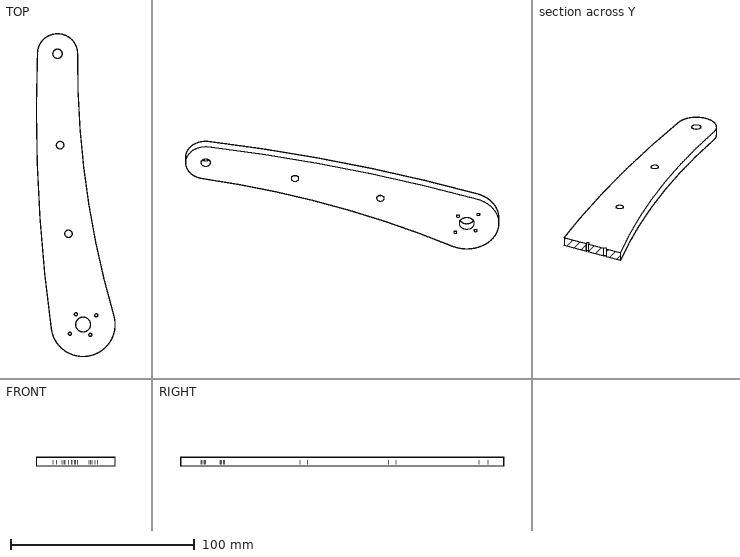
import cadquery as cq
import math

thickness = 5.0
big_lobe_radius = 17.5
small_lobe_radius = 11.0
overall_length = 175.82
lobe_offset_x = -13.9
lobe_offset_y = overall_length - big_lobe_radius - small_lobe_radius

outer_side_radius = 863.0
inner_side_radius = 490.0

hub_bore_diameter = 8.0
tip_hole_diameter = 5.0
arm_hole_diameter = 4.0
arm_hole_centers = [(-7.95, 49.4), (-12.5, 97.6)]

screw_hole_count = 4
screw_hole_diameter = 1.6
long_diagonal = 17.5
short_diagonal = 13.7
long_diagonal_angle = 35.0

big_center = (0.0, 0.0)
small_center = (lobe_offset_x, lobe_offset_y)


def side_arc_center(big_distance, small_distance):
    """Point to the right of the line from big to small lobe, at these distances from their centres."""
    span = math.hypot(lobe_offset_x, lobe_offset_y)
    along = (big_distance**2 - small_distance**2 + span**2) / (2 * span)
    across = math.sqrt(big_distance**2 - along**2)
    unit_x = lobe_offset_x / span
    unit_y = lobe_offset_y / span
    return (unit_x * along + unit_y * across, unit_y * along - unit_x * across)


def point_toward(start, target, distance):
    """Point at a signed distance from start, measured toward target."""
    dx = target[0] - start[0]
    dy = target[1] - start[1]
    length = math.hypot(dx, dy)
    return (start[0] + dx / length * distance, start[1] + dy / length * distance)


def midpoint(a, b):
    return ((a[0] + b[0]) / 2, (a[1] + b[1]) / 2)


def arm_plate():
    outer_center = side_arc_center(
        outer_side_radius - big_lobe_radius, outer_side_radius - small_lobe_radius
    )
    inner_center = side_arc_center(
        inner_side_radius + big_lobe_radius, inner_side_radius + small_lobe_radius
    )
    outer_big = point_toward(big_center, outer_center, -big_lobe_radius)
    outer_small = point_toward(small_center, outer_center, -small_lobe_radius)
    inner_big = point_toward(big_center, inner_center, big_lobe_radius)
    inner_small = point_toward(small_center, inner_center, small_lobe_radius)

    outer_mid = point_toward(outer_center, midpoint(outer_big, outer_small), outer_side_radius)
    inner_mid = point_toward(inner_center, midpoint(inner_big, inner_small), inner_side_radius)
    small_end = (small_center[0], small_center[1] + small_lobe_radius)
    big_end = (big_center[0], big_center[1] - big_lobe_radius)

    return (
        cq.Workplane("XY")
        .moveTo(*outer_big)
        .threePointArc(outer_mid, outer_small)
        .threePointArc(small_end, inner_small)
        .threePointArc(inner_mid, inner_big)
        .threePointArc(big_end, outer_big)
        .close()
        .extrude(thickness)
    )


def drill(plate, centers, diameter):
    return plate.faces(">Z").workplane(origin=(0, 0, 0)).pushPoints(centers).hole(diameter)


def screw_hole_centers():
    centers = []
    for index in range(screw_hole_count):
        diagonal = long_diagonal if index % 2 == 0 else short_diagonal
        angle = math.radians(long_diagonal_angle + 360 / screw_hole_count * index)
        centers.append((diagonal / 2 * math.cos(angle), diagonal / 2 * math.sin(angle)))
    return centers


result = arm_plate()
result = drill(result, [big_center], hub_bore_diameter)
result = drill(result, [small_center], tip_hole_diameter)
result = drill(result, arm_hole_centers, arm_hole_diameter)
result = drill(result, screw_hole_centers(), screw_hole_diameter)